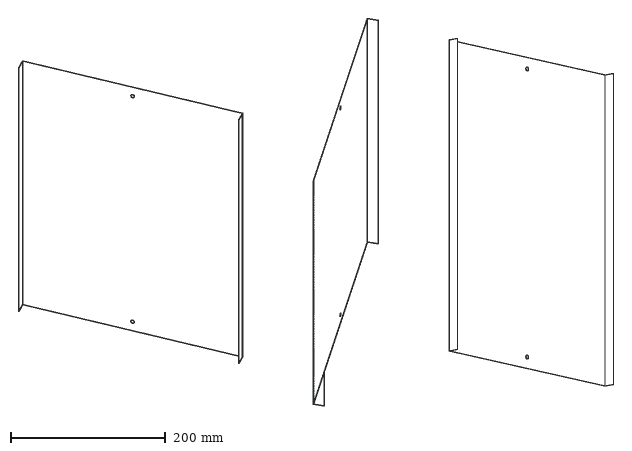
import cadquery as cq

width = 303.5
depth = 14.8
height = 410.0
sheet_thickness = 0.7

hole_diameter = 5.0
hole_edge_distance = 15.0


def upright_block(block_width, block_depth):
    """Full-height block centred on X and Z, with its front at Y = 0."""
    return cq.Workplane("XY").box(block_width, block_depth, height, centered=(True, False, True))


outer = upright_block(width, depth)
inner = upright_block(width - 2 * sheet_thickness, depth - sheet_thickness)
panel = outer.cut(inner)

hole_offset = height / 2 - hole_edge_distance
holes = (
    cq.Workplane("XZ")
    .pushPoints([(0, side * hole_offset) for side in (-1, 1)])
    .circle(hole_diameter / 2)
    .extrude(-depth)
)

result = panel.cut(holes)